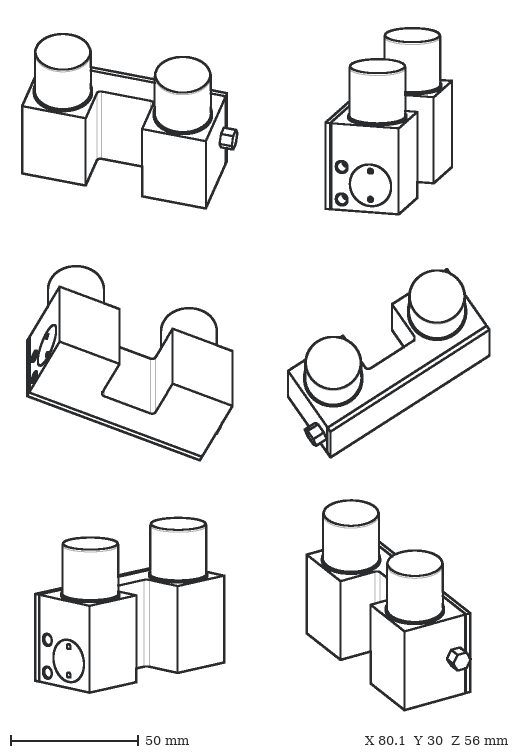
import cadquery as cq
import math

overall_length = 80.1
overall_depth = 30.0
overall_height = 56.0
hex_length = 5.0
block_length = overall_length - hex_length
block_height = 35.0
plate_thickness = 2.0
housing_depth = overall_depth - plate_thickness
seam_chamfer = 0.5

leg_width = 26.0
notch_width = block_length - 2 * leg_width
notch_depth = 17.15
notch_corner_radius = 1.5

knob_diameter = 22.0
knob_tip_diameter = 21.5
knob_tip_height = 0.9
knob_collar_diameter = 23.0
knob_collar_height = 0.7
knob_height = overall_height - block_height
knob_y = 12.5
knob_spacing = 49.0
knob_xs = ((block_length - knob_spacing) / 2, (block_length + knob_spacing) / 2)

plug_diameter = 16.8
plug_bore_diameter = 17.0
plug_depth = 5.0
plug_y = 11.5
plug_z = 11.0
spanner_hole_diameter = 2.0
spanner_hole_depth = 2.4
spanner_hole_spacing = 11.45
drill_tip_angle = 118.0

port_diameter = 4.2
port_mouth_diameter = 4.9
port_depth = 8.0
port_spacing = 13.2
port_y = 23.3
port_zs = (plug_z - port_spacing / 2, plug_z + port_spacing / 2)

hex_across_flats = 7.0
hex_across_corners = hex_across_flats / math.cos(math.pi / 6)


def side_plane(x, y, z):
    """Plane facing +X at a point; its local x runs along +Y and its local y along +Z."""
    return cq.Workplane("YZ", origin=(x, y, z))


def drilled_hole(x, y, z, diameter, depth):
    """Cutter along +X with a conical drill tip beyond the full-diameter depth."""
    radius = diameter / 2
    tip_length = radius / math.tan(math.radians(drill_tip_angle / 2))
    profile = (
        cq.Workplane("XY", origin=(x, y, z))
        .polyline([(0, 0), (0, radius), (depth, radius), (depth + tip_length, 0)])
        .close()
    )
    return profile.revolve(360, (0, 0, 0), (1, 0, 0))


def port_cutter(z):
    """Flat-bottomed port with a 45 degree chamfered mouth."""
    mouth_depth = (port_mouth_diameter - port_diameter) / 2
    bore = side_plane(0, port_y, z).circle(port_diameter / 2).extrude(port_depth)
    mouth = cq.Solid.makeCone(
        port_mouth_diameter / 2,
        port_diameter / 2,
        mouth_depth,
        cq.Vector(0, port_y, z),
        cq.Vector(1, 0, 0),
    )
    return bore.union(cq.Workplane(mouth))


def make_housing():
    block = cq.Workplane("XY").box(block_length, housing_depth, block_height, centered=False)
    block = block.edges("|Z and >Y").chamfer(seam_chamfer)
    notch = (
        cq.Workplane("XY", origin=(leg_width, 0, 0))
        .box(notch_width, notch_depth, block_height, centered=False)
        .edges("|Z and >Y")
        .fillet(notch_corner_radius)
    )
    plug_bore = side_plane(0, plug_y, plug_z).circle(plug_bore_diameter / 2).extrude(plug_depth)
    boss = (
        side_plane(block_length, port_y, port_zs[1])
        .polygon(6, hex_across_corners)
        .extrude(hex_length)
    )
    housing = block.cut(notch).cut(plug_bore).union(boss)
    for z in port_zs:
        housing = housing.cut(port_cutter(z))
    return housing


def make_plate():
    """Flat cover plate against the back of the housing."""
    return cq.Workplane("XY", origin=(0, housing_depth, 0)).box(
        block_length, plate_thickness, block_height, centered=False
    )


def make_knob(x):
    """Cylindrical knob on a low collar, slightly tapered at its tip."""
    collar = (
        cq.Workplane("XY", origin=(x, knob_y, block_height))
        .circle(knob_collar_diameter / 2)
        .extrude(knob_collar_height)
    )
    tip_inset = (knob_diameter - knob_tip_diameter) / 2
    grip = (
        cq.Workplane("XY", origin=(x, knob_y, block_height))
        .circle(knob_diameter / 2)
        .extrude(knob_height)
        .faces(">Z")
        .edges()
        .chamfer(knob_tip_height, tip_inset)
    )
    return collar.union(grip)


def make_plug():
    """Flush disc with two drilled spanner holes."""
    plug = side_plane(0, plug_y, plug_z).circle(plug_diameter / 2).extrude(plug_depth)
    for side in (-1, 1):
        z = plug_z + side * spanner_hole_spacing / 2
        plug = plug.cut(drilled_hole(0, plug_y, z, spanner_hole_diameter, spanner_hole_depth))
    return plug


housing = make_housing()
plate = make_plate()
plug = make_plug()
knobs = [make_knob(x) for x in knob_xs]

result = cq.Compound.makeCompound(
    [housing.val(), plate.val(), plug.val(), *[knob.val() for knob in knobs]]
)